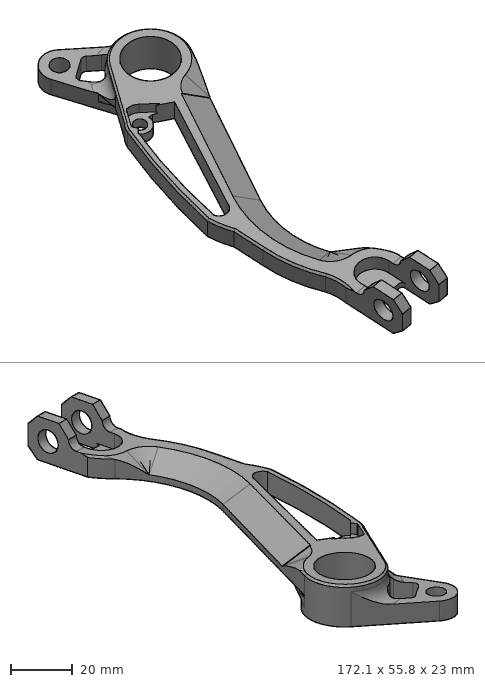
import cadquery as cq
import math

tab_top = 7.2
arm_bottom = tab_top
arm_top = 15.1
arm_height = arm_top - arm_bottom

boss_radius = 14.1
bore_radius = 10.0
tab_hole = (-25.1, -16.2)
tab_radius = 6.97
tab_hole_radius = 3.35
window_corners = [(-22.4, -8.5), (-16.4, -2.0), (-7.7, -12.0), (-17.0, -17.7)]
window_corner_radius = 2.0
window_boss_clearance = 0.7
upper_fillet = 5.5
lower_fillet = 4.1
ramp_start, ramp_end = -7.5, 1.7
ramp_bottom = 3.3
ramp_outer_y, ramp_inner_y = -17.4, -11.2
gusset_length = 15.5
gusset_foot = (-boss_radius, -19.6)
gusset_tip = (ramp_end, -18.5)

arm_slope = math.radians(28.3)
bend_center = (84.2, 14.8)
bend_radius = 39.2
bend_end_x = 107.5
edge_chamfer = 0.77
lower_edge_slope = math.radians(36.4)
lower_corner_start_x = 12.7
lower_corner_end = (16.0, -29.1)
belly_start = (62.0, -41.7)
waist_start = (71.6, -39.5)
shoulder_middle = (111.2, -14.1)
neck_middle = (111.5, -33.9)
neck_start = (107.2, -34.8)
hollow_middle = (96.4, -38.2)
waist_middle = (67.1, -40.8)
belly_middle = (37.5, -36.1)
lower_corner_middle = (14.3, -28.2)
waist_end = (84.2, -39.5)

bevel_width = 9.6
bevel_depth = 5.5
bevel_overrun = 0.7
fork_sweep = math.radians(50)
bevel_start_x = 22.7
bevel_end_x = 97.8

fork_tip = 140.02
fork_center = (118.2, -23.0)
fork_half_width = 10.93
pocket_half_width = 6.8
pocket_depth = 5.7
pocket_floor_end = 124.0
floor_corner_radius = 1.4
shoulder_x = 115.3
lug_top = 23.0
lug_hole = (131.7, arm_top)
lug_hole_radius = 4.1
lug_root_radius = 3.3
lug_root_x = 120.0
lug_chamfer = 4.0
lug_top_start = 127.2

slot_top_left = (18.8, -9.3)
slot_top_right = (62.3, -32.0)
slot_end_middle = (64.7, -35.8)
slot_bottom_right = (62.1, -38.7)
slot_bottom_middle = (39.6, -33.9)
slot_bottom_left = (19.0, -27.4)
slot_left = (14.6, -15.5)
eyelet = (14.6, -21.5)
eyelet_radius = 4.39
eyelet_hole_radius = 2.5
eyelet_recess_radius = 5.3
eyelet_recess_depth = 4.0
recess_mouth_end = (15.5, -13.0)
recess_limits = [(6.0, -19.8), (15.1, -26.5), (24.1, -29.3), (24.1, -12.0), (6.0, -12.0)]

fork_near = fork_center[1] - fork_half_width
fork_far = fork_center[1] + fork_half_width


def polar(center, radius, angle):
    return center[0] + radius * math.cos(angle), center[1] + radius * math.sin(angle)


def cylinder(center, radius, bottom, top):
    return cq.Workplane("XY", origin=(*center, bottom)).circle(radius).extrude(top - bottom)


def bend_edge_point(x):
    y = bend_center[1] - math.sqrt(bend_radius**2 - (x - bend_center[0]) ** 2)
    return x, y


upper_tangent_angle = math.pi / 2 - arm_slope
lower_tangent_angle = 1.5 * math.pi - lower_edge_slope
upper_tangent = polar((0, 0), boss_radius, upper_tangent_angle)
lower_tangent = polar((0, 0), boss_radius, lower_tangent_angle)
bevel_drop = bevel_depth / bevel_width
overrun_width = bevel_width + bevel_overrun
overrun_depth = overrun_width * bevel_drop
bend_start = bend_edge_point(bend_center[0] - bend_radius * math.sin(arm_slope))


def along_upper_edge(x):
    return x, upper_tangent[1] - (x - upper_tangent[0]) * math.tan(arm_slope)


bevel_start = along_upper_edge(bevel_start_x)
boss_rim_radius = math.hypot(*bevel_start) - bevel_width
bevel_end = bend_edge_point(bevel_end_x)
fork_rim_radius = math.dist(fork_center, bevel_end) - bevel_width


def make_arm():
    drop = (lower_corner_start_x - lower_tangent[0]) * math.tan(lower_edge_slope)
    lower_corner_start = (lower_corner_start_x, lower_tangent[1] - drop)
    outline = (
        cq.Workplane("XY", origin=(0, 0, arm_bottom))
        .moveTo(*upper_tangent)
        .lineTo(*bend_start)
        .threePointArc(bend_edge_point(bend_center[0]), bend_edge_point(bend_end_x))
        .threePointArc(shoulder_middle, (shoulder_x, fork_far))
        .lineTo(fork_tip, fork_far)
        .lineTo(fork_tip, fork_near)
        .lineTo(shoulder_x, fork_near)
        .threePointArc(neck_middle, neck_start)
        .threePointArc(hollow_middle, waist_end)
        .lineTo(*waist_start)
        .threePointArc(waist_middle, belly_start)
        .threePointArc(belly_middle, lower_corner_end)
        .threePointArc(lower_corner_middle, lower_corner_start)
        .lineTo(*lower_tangent)
        .threePointArc((-boss_radius, 0), upper_tangent)
        .close()
    )
    arm = outline.extrude(arm_height)
    lower_edges = cq.selectors.BoxSelector(
        (0, belly_start[1], arm_top - edge_chamfer),
        (neck_middle[0], eyelet[1], arm_top + edge_chamfer),
    )
    return arm.edges(lower_edges).chamfer(edge_chamfer)


def bevel_ring(center, edge_radius, direction, start, sweep):
    """Ring wedge whose shallow edge has the given radius and deepens along direction."""
    deep_radius = edge_radius + direction * overrun_width
    plane = cq.Plane(
        origin=(*center, arm_top),
        xDir=(math.cos(start), math.sin(start), 0),
        normal=(math.sin(start), -math.cos(start), 0),
    )
    profile = cq.Workplane(plane).polyline(
        [(edge_radius, 0), (deep_radius, 0), (deep_radius, -overrun_depth)]
    )
    return profile.close().revolve(math.degrees(sweep), (0, 0), (0, 1))


def angle_to(center, point):
    return math.atan2(point[1] - center[1], point[0] - center[0])


def bevel_fan(apex, start, sweep):
    """Sector of a cone standing on its apex at the foot of the bevel."""
    plane = cq.Plane(
        origin=(*apex, arm_top),
        xDir=(math.cos(start), math.sin(start), 0),
        normal=(math.sin(start), -math.cos(start), 0),
    )
    profile = cq.Workplane(plane).polyline([(0, 0), (bevel_width, 0), (0, -bevel_depth)])
    return profile.close().revolve(math.degrees(sweep), (0, 0), (0, 1))


def bevel_tool():
    straight_length = math.dist(bevel_start, bend_start)
    straight_plane = cq.Plane(
        origin=(*bend_start, arm_top),
        xDir=(-math.sin(arm_slope), -math.cos(arm_slope), 0),
        normal=(-math.cos(arm_slope), math.sin(arm_slope), 0),
    )
    straight = (
        cq.Workplane(straight_plane)
        .polyline([(-bevel_overrun, 0), (bevel_width, 0), (-bevel_overrun, -overrun_depth)])
        .close()
        .extrude(straight_length)
    )

    bend_from = angle_to(bend_center, bend_start)
    bend_to = angle_to(bend_center, bevel_end)
    bend = bevel_ring(
        bend_center, bend_radius + bevel_width, -1, bend_from, bend_to - bend_from
    )

    boss_from = angle_to((0, 0), bevel_start)
    boss = bevel_ring(
        (0, 0), boss_rim_radius, 1, boss_from, lower_tangent_angle - boss_from
    )
    boss_fan_from = boss_from - math.pi
    boss_fan = bevel_fan(
        bevel_start, boss_fan_from, -math.pi / 2 - arm_slope - boss_fan_from
    )

    fork_to = angle_to(fork_center, bevel_end)
    fork = bevel_ring(fork_center, fork_rim_radius, 1, fork_to - fork_sweep, fork_sweep)
    fork_fan = bevel_fan(bevel_end, bend_to, fork_to - math.pi - bend_to)
    return straight.union(bend).union(boss_fan).union(fork_fan).union(boss).union(fork)


def cut_slot(arm):
    slot = (
        cq.Workplane("XY", origin=(0, 0, arm_bottom))
        .moveTo(*slot_top_left)
        .lineTo(*slot_top_right)
        .threePointArc(slot_end_middle, slot_bottom_right)
        .threePointArc(slot_bottom_middle, slot_bottom_left)
        .lineTo(*eyelet)
        .lineTo(*slot_left)
        .close()
        .extrude(arm_height)
    )
    slot = slot.cut(cylinder(eyelet, eyelet_radius, arm_bottom, arm_top))
    recess = cylinder(eyelet, eyelet_recess_radius, arm_top - eyelet_recess_depth, arm_top)
    recess_corner = polar(eyelet, eyelet_recess_radius, 0.75 * math.pi)
    recess_mouth = (
        cq.Workplane("XY", origin=(0, 0, arm_top - eyelet_recess_depth))
        .polyline([eyelet, recess_corner, recess_mouth_end])
        .close()
        .extrude(eyelet_recess_depth)
    )
    recess = recess.union(recess_mouth)
    rail_guard = (
        cq.Workplane("XY", origin=(0, 0, arm_bottom))
        .polyline(recess_limits)
        .close()
        .extrude(arm_height)
    )
    recess = recess.intersect(rail_guard)
    hole = cylinder(eyelet, eyelet_hole_radius, arm_bottom, arm_top)
    return arm.cut(slot).cut(recess).cut(hole)


def tab_prism(bottom, top):
    """Two circles joined by their outer tangent lines."""
    direction = angle_to((0, 0), tab_hole)
    spread = math.acos((boss_radius - tab_radius) / math.hypot(*tab_hole))
    return (
        cq.Workplane("XY", origin=(0, 0, bottom))
        .moveTo(*polar((0, 0), boss_radius, direction + spread))
        .lineTo(*polar(tab_hole, tab_radius, direction + spread))
        .threePointArc(
            polar(tab_hole, tab_radius, direction),
            polar(tab_hole, tab_radius, direction - spread),
        )
        .lineTo(*polar((0, 0), boss_radius, direction - spread))
        .threePointArc(
            polar((0, 0), boss_radius, direction + math.pi),
            polar((0, 0), boss_radius, direction + spread),
        )
        .close()
        .extrude(top - bottom)
    )


def fillet_profile(plane, radius, rise):
    """Concave fillet section; rise is +1 above the root face, -1 below it."""
    bulge = radius * (1 - math.sqrt(0.5))
    return (
        cq.Workplane(plane)
        .moveTo(bore_radius, 0)
        .lineTo(boss_radius + radius, 0)
        .threePointArc((boss_radius + bulge, rise * bulge), (boss_radius, rise * radius))
        .lineTo(bore_radius, rise * radius)
        .close()
    )


def fillet_ring(radius, root_z, rise):
    plane = cq.Plane(origin=(0, 0, root_z), xDir=(1, 0, 0), normal=(0, -1, 0))
    return fillet_profile(plane, radius, rise).revolve(360, (0, 0), (0, 1))


def straight_fillet():
    """The upper fillet carried on along the straight lower edge of the arm."""
    plane = cq.Plane(
        origin=(0, 0, tab_top),
        xDir=(math.cos(lower_tangent_angle), math.sin(lower_tangent_angle), 0),
        normal=(-math.cos(lower_edge_slope), math.sin(lower_edge_slope), 0),
    )
    run = fillet_profile(plane, upper_fillet, 1).extrude(-gusset_length)
    limits = (
        cq.Workplane("XY", origin=(0, 0, tab_top))
        .polyline([
            gusset_foot,
            (ramp_start, ramp_outer_y),
            gusset_tip,
            (ramp_end, 0),
            (-boss_radius, 0),
        ])
        .close()
        .extrude(upper_fillet)
    )
    return run.intersect(limits)


def blend_tab(arm, arm_blank):
    upper = fillet_ring(upper_fillet, tab_top, 1).intersect(tab_prism(tab_top, arm_top))
    arm_shadow = arm_blank.translate((0, 0, -arm_height))
    lower = fillet_ring(lower_fillet, arm_bottom, -1).intersect(arm_shadow)
    ramp = (
        cq.Workplane("XZ", origin=(0, ramp_inner_y, 0))
        .polyline([
            (ramp_start, ramp_bottom),
            (ramp_start, tab_top),
            (ramp_end, tab_top),
        ])
        .close()
        .extrude(ramp_inner_y - ramp_outer_y)
    )
    arm = arm.union(tab_prism(0, tab_top)).union(upper).union(lower)
    return arm.union(ramp).union(straight_fillet())


def tab_window():
    window = (
        cq.Workplane("XY")
        .polyline(window_corners)
        .close()
        .extrude(arm_top)
        .edges("|Z")
        .fillet(window_corner_radius)
    )
    return window.cut(cylinder((0, 0), boss_radius + window_boss_clearance, 0, arm_top))


def add_lugs(arm):
    root_end = (lug_root_x + lug_root_radius, arm_top + lug_root_radius)
    diagonal = lug_root_radius * math.sqrt(0.5)
    lugs = (
        cq.Workplane("XZ", origin=(0, fork_far, 0))
        .moveTo(lug_root_x, arm_bottom)
        .lineTo(lug_root_x, arm_top)
        .threePointArc(
            (lug_root_x + diagonal, root_end[1] - diagonal),
            root_end,
        )
        .lineTo(lug_top_start, lug_top)
        .lineTo(fork_tip - lug_chamfer, lug_top)
        .lineTo(fork_tip, lug_top - lug_chamfer)
        .lineTo(fork_tip, arm_bottom + lug_chamfer)
        .lineTo(fork_tip - lug_chamfer, arm_bottom)
        .close()
        .extrude(2 * fork_half_width)
    )
    blank = cq.Workplane("XY").box(
        fork_tip - lug_root_x, 2 * fork_half_width, arm_height, centered=False
    ).translate((lug_root_x, fork_near, arm_bottom))
    return arm.cut(blank).union(lugs)


def cut_fork(arm):
    pocket_bottom = arm_top - pocket_depth
    pocket_length = fork_tip - fork_center[0]
    pocket_middle = fork_center[0] + pocket_length / 2
    pocket = cylinder(fork_center, pocket_half_width, pocket_bottom, lug_top).union(
        cq.Workplane("XY", origin=(pocket_middle, fork_center[1], pocket_bottom))
        .rect(pocket_length, 2 * pocket_half_width)
        .extrude(lug_top - pocket_bottom)
    )
    gap_length = fork_tip - pocket_floor_end
    gap = (
        cq.Workplane("XY", origin=(pocket_floor_end + gap_length / 2, fork_center[1], 0))
        .rect(gap_length, 2 * pocket_half_width)
        .extrude(lug_top)
        .edges("|Z and <X")
        .fillet(floor_corner_radius)
    )
    pin_hole = (
        cq.Workplane("XZ", origin=(0, fork_far, 0))
        .center(*lug_hole)
        .circle(lug_hole_radius)
        .extrude(2 * fork_half_width)
    )
    return arm.cut(pocket).cut(gap).cut(pin_hole)


plain_arm = make_arm()
arm = cut_slot(plain_arm.cut(bevel_tool()))
arm = cut_fork(add_lugs(arm))
arm = blend_tab(arm, plain_arm)
bore = cylinder((0, 0), bore_radius, 0, arm_top)
bolt_hole = cylinder(tab_hole, tab_hole_radius, 0, tab_top)
result = arm.cut(tab_window()).cut(bolt_hole).cut(bore)